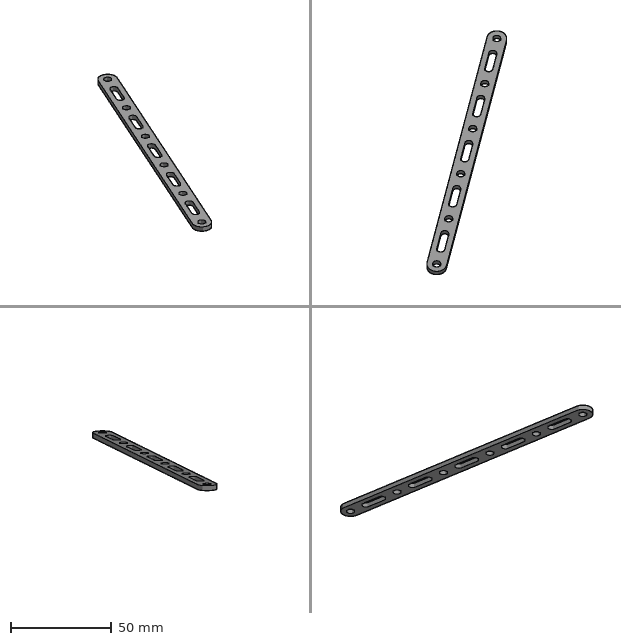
import cadquery as cq

length = 160.0
width = 10.0
thickness = 2.5

hole_diameter = 4.0
hole_count = 6
hole_pitch = (length - width) / (hole_count - 1)

slot_length = 14.0
slot_width = hole_diameter
slot_count = hole_count - 1


def make_strip():
    return cq.Workplane("XY").slot2D(length, width).extrude(thickness)


def cut_holes(strip):
    return (
        strip.faces(">Z").workplane()
        .rarray(hole_pitch, 1.6, hole_count, 1)
        .hole(hole_diameter)
    )


def cut_slots(strip):
    return (
        strip.faces(">Z").workplane()
        .rarray(hole_pitch, 1.6, slot_count, 1)
        .slot2D(slot_length, slot_width)
        .cutThruAll()
    )


result = cut_slots(cut_holes(make_strip()))